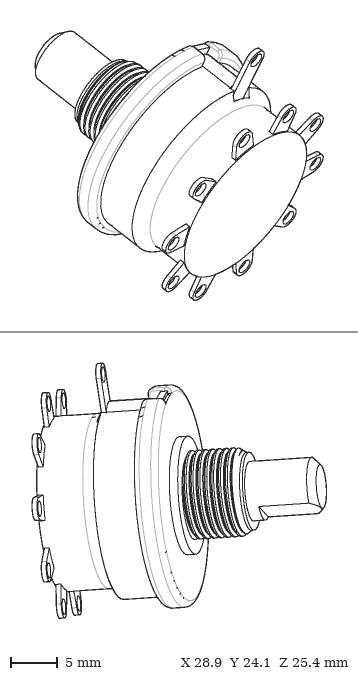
import cadquery as cq
import math

LENGTH = 28.95

SHAFT_RADIUS = 3.2
TIP_CHAMFER = 0.85
FLAT_HEIGHT = 2.37
FLAT_END = 6.35

BUSHING_START = 7.65
BUSHING_TIP_RADIUS = 4.17
BUSHING_TIP_LENGTH = 0.32
BUSHING_TAPER_LENGTH = 0.9
THREAD_RADIUS = 4.75
THREAD_DEPTH = 0.38
THREAD_PITCH = 0.75
THREAD_START = 7.18
CREST_WIDTH = 0.2
ROOT_WIDTH = 0.12

COLLAR_START = 14.22
COLLAR_RADIUS = 6.3
CAP_START = 15.15
CAP_END = 17.75
CAP_RADIUS = 11.9
CAP_FILLET = 0.67
HOUSING_END = 22.42
HOUSING_RADIUS = 10.63
NECK_RADIUS = 9.38
NECK_START = 23.9

LUG_TIP_RADIUS = 1.22
LUG_HOLE_RADIUS = 0.8
LUG_THICKNESS = 0.55
LUG_ROOT = 8.7
TERMINAL_COUNT = 10
TERMINAL_REACH = 11.4
TERMINAL_START = 28.26
TERMINAL_ROOT_WIDTH = 2.85

GROUND_ANGLE = 360.0 / TERMINAL_COUNT
GROUND_REACH = 14.3
STRIP_WIDTH = 2.9
STRIP_TOP = 11.1
STRIP_CURVE_RADIUS = 2.1
STRIP_FRONT = 16.33
STRIP_END = 21.8
STRIP_BEND_RADIUS = 0.4

NOTCH_WIDTH = 2.9
NOTCH_EDGE_FILLET = 0.23
LIP_THICKNESS = 0.32
CLIP_WIDTH = 2.2
CLIP_HEIGHT = 11.55
CLIP_LENGTH = 0.75

SLOT_FLOOR = 9.0
SLOT_END = 22.97


def cylinder(start, end, radius):
    return cq.Workplane("YZ", origin=(start, 0, 0)).circle(radius).extrude(end - start)


def radial_block(start, end, width, bottom, top):
    """Block standing on the +Z side, centred on Y = 0."""
    return cq.Workplane("XY", origin=(0, 0, bottom)).box(
        end - start, width, top - bottom, centered=(False, True, False)
    ).translate((start, 0, 0))


def turn(shape, angle):
    """Turn about the X axis from +Z towards +Y."""
    return shape.rotate((0, 0, 0), (1, 0, 0), -angle)


def lug(start, reach, root_width):
    """Flat lug pointing to +Z, with a round end and a wire hole."""
    half_root = root_width / 2
    plane = cq.Workplane("YZ", origin=(start, 0, 0))
    return (
        plane.moveTo(-half_root, LUG_ROOT)
        .lineTo(-LUG_TIP_RADIUS, reach)
        .threePointArc((0, reach + LUG_TIP_RADIUS), (LUG_TIP_RADIUS, reach))
        .lineTo(half_root, LUG_ROOT)
        .close()
        .extrude(LUG_THICKNESS)
        .cut(plane.center(0, reach).circle(LUG_HOLE_RADIUS).extrude(LUG_THICKNESS))
    )


def make_shaft():
    shaft = cylinder(0, CAP_START, SHAFT_RADIUS).faces("<X").chamfer(TIP_CHAMFER)
    below_flat = cq.Workplane("XY", origin=(0, 0, -FLAT_HEIGHT)).box(
        FLAT_END, 2 * SHAFT_RADIUS, SHAFT_RADIUS, centered=(False, True, False)
    ).translate((0, 0, -SHAFT_RADIUS))
    return shaft.cut(below_flat)


def make_thread_groove():
    """Helical groove about the X axis, running on past the collar face."""
    root_radius = THREAD_RADIUS - THREAD_DEPTH
    clearance = 0.05
    flank_slope = (THREAD_PITCH - CREST_WIDTH - ROOT_WIDTH) / 2 / THREAD_DEPTH
    half_root = ROOT_WIDTH / 2
    half_mouth = half_root + flank_slope * (THREAD_DEPTH + clearance)
    helix = cq.Wire.makeHelix(THREAD_PITCH, COLLAR_START + THREAD_PITCH / 2 - THREAD_START, root_radius)
    groove = (
        cq.Workplane("XZ")
        .moveTo(root_radius, -half_root)
        .lineTo(THREAD_RADIUS + clearance, -half_mouth)
        .lineTo(THREAD_RADIUS + clearance, half_mouth)
        .lineTo(root_radius, half_root)
        .close()
        .sweep(cq.Workplane(helix), isFrenet=True)
    )
    return groove.rotate((0, 0, 0), (0, 1, 0), 90).translate((THREAD_START, 0, 0))


def make_bushing():
    """Threaded rod trimmed to a plain tip and a lead-in taper."""
    run_out = THREAD_PITCH
    rod_start = BUSHING_START - run_out
    rod_end = COLLAR_START + run_out
    threaded_rod = cylinder(rod_start, rod_end, THREAD_RADIUS).cut(make_thread_groove())
    taper_start = BUSHING_START + BUSHING_TIP_LENGTH
    taper_rise = THREAD_RADIUS - BUSHING_TIP_RADIUS
    envelope = (
        cq.Workplane("XY")
        .moveTo(BUSHING_START, 0)
        .lineTo(BUSHING_START, BUSHING_TIP_RADIUS)
        .lineTo(taper_start, BUSHING_TIP_RADIUS)
        .lineTo(taper_start + 2 * BUSHING_TAPER_LENGTH, BUSHING_TIP_RADIUS + 2 * taper_rise)
        .lineTo(rod_end, BUSHING_TIP_RADIUS + 2 * taper_rise)
        .lineTo(rod_end, 0)
        .close()
        .revolve(360, (0, 0, 0), (1, 0, 0))
    )
    return threaded_rod.intersect(envelope)


def make_cap():
    """Rounded cap with the clip notch in its rim at +Z."""
    cap = cylinder(CAP_START, CAP_END, CAP_RADIUS).edges().fillet(CAP_FILLET)
    margin = 0.15
    notch_floor = HOUSING_RADIUS - margin
    notch = radial_block(CAP_START, CAP_END, NOTCH_WIDTH, notch_floor, CAP_RADIUS + margin)
    above_floor = cq.selectors.BoxSelector(
        (CAP_START - margin, -NOTCH_WIDTH, notch_floor + margin),
        (CAP_END + margin, NOTCH_WIDTH, CAP_RADIUS + margin),
    )
    wall_edges = cap.cut(notch).faces("|Y").edges(above_floor)
    lip_end = CAP_START + LIP_THICKNESS
    lip = cylinder(CAP_START, lip_end, CAP_RADIUS - CAP_FILLET)
    clip = radial_block(lip_end, lip_end + CLIP_LENGTH, CLIP_WIDTH, LUG_ROOT, CLIP_HEIGHT)
    return wall_edges.fillet(NOTCH_EDGE_FILLET).union(lip).union(clip)


def make_housing():
    neck_drop = HOUSING_RADIUS - NECK_RADIUS
    neck_length = NECK_START - HOUSING_END
    curve_radius = (neck_length**2 + neck_drop**2) / (2 * neck_drop)
    half_sweep = math.asin(neck_length / curve_radius) / 2
    curve_middle = (
        NECK_START - curve_radius * math.sin(half_sweep),
        NECK_RADIUS + curve_radius * (1 - math.cos(half_sweep)),
    )
    return (
        cq.Workplane("XY")
        .moveTo(CAP_START + LIP_THICKNESS, 0)
        .lineTo(CAP_START + LIP_THICKNESS, HOUSING_RADIUS)
        .lineTo(HOUSING_END, HOUSING_RADIUS)
        .threePointArc(curve_middle, (NECK_START, NECK_RADIUS))
        .lineTo(LENGTH, NECK_RADIUS)
        .lineTo(LENGTH, 0)
        .close()
        .revolve(360, (0, 0, 0), (1, 0, 0))
    )


def make_ground_strip():
    """Arched strip along the top of the housing."""
    half_width = STRIP_WIDTH / 2
    edge_height = STRIP_TOP - STRIP_CURVE_RADIUS + math.sqrt(STRIP_CURVE_RADIUS**2 - half_width**2)
    return (
        cq.Workplane("YZ", origin=(STRIP_FRONT, 0, 0))
        .moveTo(-half_width, LUG_ROOT)
        .lineTo(-half_width, edge_height)
        .threePointArc((0, STRIP_TOP), (half_width, edge_height))
        .lineTo(half_width, LUG_ROOT)
        .close()
        .extrude(STRIP_END - STRIP_FRONT)
        .faces("<X").edges(">Z").fillet(STRIP_BEND_RADIUS)
    )


body = make_housing().union(turn(make_cap(), GROUND_ANGLE))
slot = radial_block(STRIP_END, SLOT_END, STRIP_WIDTH, SLOT_FLOOR, CAP_RADIUS)
body = body.cut(turn(slot, GROUND_ANGLE))

ground_lug = lug(HOUSING_END - LUG_THICKNESS, GROUND_REACH, 2 * LUG_TIP_RADIUS)
body = body.union(turn(make_ground_strip().union(ground_lug), GROUND_ANGLE))

terminal = lug(TERMINAL_START, TERMINAL_REACH, TERMINAL_ROOT_WIDTH)
for index in range(TERMINAL_COUNT):
    body = body.union(turn(terminal, index * 360.0 / TERMINAL_COUNT))

collar = cylinder(COLLAR_START, CAP_START, COLLAR_RADIUS)
result = body.union(collar).union(make_bushing()).union(make_shaft())